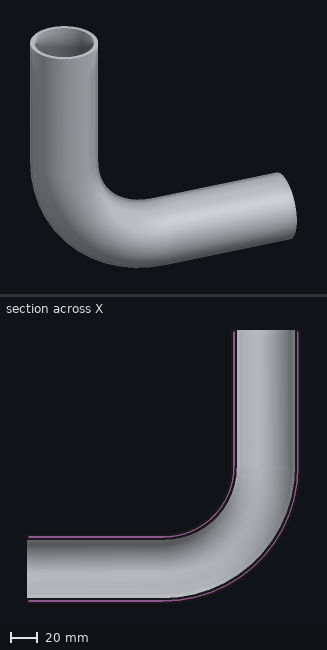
import cadquery as cq

outer_diameter = 50.8
inner_diameter = 44.7
leg_length = 101.5
bend_radius = 1.5 * outer_diameter
bend_angle = 90


def pipe_section(plane):
    """Ring-shaped cross-section of the pipe, centred on the given plane."""
    return cq.Workplane(plane).circle(outer_diameter / 2).circle(inner_diameter / 2)


vertical_end = cq.Plane(origin=(0, 0, bend_radius), normal=(0, 0, 1), xDir=(1, 0, 0))
vertical_leg = pipe_section(vertical_end).extrude(leg_length)

horizontal_end = cq.Plane(origin=(0, bend_radius, 0), normal=(0, 1, 0), xDir=(1, 0, 0))
horizontal_leg = pipe_section(horizontal_end).extrude(leg_length)

bend = pipe_section(vertical_end).revolve(bend_angle, (0, bend_radius, 0), (1, bend_radius, 0))

result = vertical_leg.union(bend).union(horizontal_leg)